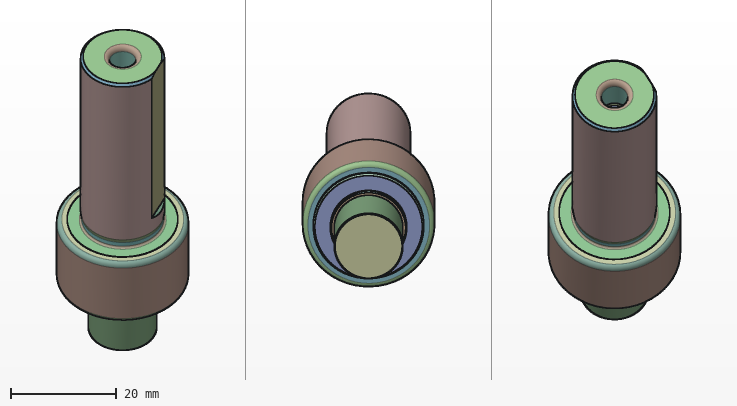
import cadquery as cq
import math

TOTAL_LENGTH = 70.0
HEAD_BOTTOM = 13.0
HEAD_TOP = 28.0

HEAD_DIAMETER = 25.0
HEAD_FILLET = 1.0
RECESS_DIAMETER = 20.9
RECESS_DEPTH = 0.1

PILOT_DIAMETER = 13.0
PILOT_CHAMFER = 0.175
COLLAR_DIAMETER = 14.5
COLLAR_TIP_DIAMETER = 14.0
COLLAR_BOTTOM = 11.3
COLLAR_TAPER_TOP = 11.6
FLANGE_DIAMETER = 20.9
FLANGE_TIP_DIAMETER = 20.3
FLANGE_BOTTOM = 12.0
FLANGE_TAPER_TOP = 12.5

SHANK_DIAMETER = 15.9
SHANK_CHAMFER = 0.5
NECK_DIAMETER = 15.6
NECK_FILLET = 0.4
NECK_TOP = 29.25
NECK_TAPER_TOP = 30.1

FLAT_OFFSET = 7.35
FLAT_BOTTOM = 33.6

MOUTH_DIAMETER = 7.0
BORE_DIAMETER = 5.0
BORE_DEPTH = 7.0
SEAT_DIAMETER = 4.5
SEAT_DEPTH = 7.5
THREAD_DIAMETER = 3.5
THREAD_DEPTH = 11.2
CORE_DIAMETER = 2.5
CORE_DEPTH = 12.6
DRILL_DIAMETER = 2.0
DRILL_DEPTH = 14.0
DRILL_POINT_ANGLE = 118.0

ARC_INSET_RATIO = 1 - math.sqrt(0.5)


def turned_body():
    """Revolve the outer half-profile about Z."""
    head_r = HEAD_DIAMETER / 2
    pilot_r = PILOT_DIAMETER / 2
    shank_r = SHANK_DIAMETER / 2
    neck_r = NECK_DIAMETER / 2
    arc_inset = HEAD_FILLET * ARC_INSET_RATIO
    neck_inset = NECK_FILLET * ARC_INSET_RATIO
    recess_floor = HEAD_TOP - RECESS_DEPTH
    profile = (
        cq.Workplane("XZ")
        .lineTo(pilot_r - PILOT_CHAMFER, 0)
        .lineTo(pilot_r, PILOT_CHAMFER)
        .lineTo(pilot_r, COLLAR_BOTTOM)
        .lineTo(COLLAR_TIP_DIAMETER / 2, COLLAR_BOTTOM)
        .lineTo(COLLAR_DIAMETER / 2, COLLAR_TAPER_TOP)
        .lineTo(COLLAR_DIAMETER / 2, FLANGE_BOTTOM)
        .lineTo(FLANGE_TIP_DIAMETER / 2, FLANGE_BOTTOM)
        .lineTo(FLANGE_DIAMETER / 2, FLANGE_TAPER_TOP)
        .lineTo(FLANGE_DIAMETER / 2, HEAD_BOTTOM)
        .lineTo(head_r - HEAD_FILLET, HEAD_BOTTOM)
        .threePointArc((head_r - arc_inset, HEAD_BOTTOM + arc_inset), (head_r, HEAD_BOTTOM + HEAD_FILLET))
        .lineTo(head_r, HEAD_TOP - HEAD_FILLET)
        .threePointArc((head_r - arc_inset, HEAD_TOP - arc_inset), (head_r - HEAD_FILLET, HEAD_TOP))
        .lineTo(RECESS_DIAMETER / 2, HEAD_TOP)
        .lineTo(RECESS_DIAMETER / 2, recess_floor)
        .lineTo(neck_r + NECK_FILLET, recess_floor)
        .threePointArc((neck_r + neck_inset, recess_floor + neck_inset), (neck_r, recess_floor + NECK_FILLET))
        .lineTo(neck_r, NECK_TOP)
        .lineTo(shank_r, NECK_TAPER_TOP)
        .lineTo(shank_r, TOTAL_LENGTH - SHANK_CHAMFER)
        .lineTo(shank_r - SHANK_CHAMFER, TOTAL_LENGTH)
        .lineTo(0, TOTAL_LENGTH)
        .close()
    )
    return profile.revolve(360, (0, 0, 0), (0, 1, 0))


def shank_flat():
    """Material outside the flat, bounded below by the ramp."""
    ramp_run = SHANK_DIAMETER - FLAT_OFFSET
    return (
        cq.Workplane("XZ")
        .moveTo(FLAT_OFFSET, FLAT_BOTTOM)
        .lineTo(SHANK_DIAMETER, FLAT_BOTTOM - ramp_run)
        .lineTo(SHANK_DIAMETER, TOTAL_LENGTH)
        .lineTo(FLAT_OFFSET, TOTAL_LENGTH)
        .close()
        .extrude(SHANK_DIAMETER / 2, both=True)
    )


def centre_hole():
    """Radiused mouth, bore with tapered seat, threaded length, core and pointed drill tip."""
    bore_r = BORE_DIAMETER / 2
    thread_r = THREAD_DIAMETER / 2
    drill_r = DRILL_DIAMETER / 2
    mouth_radius = MOUTH_DIAMETER / 2 - bore_r
    arc_inset = mouth_radius * ARC_INSET_RATIO
    drill_bottom = TOTAL_LENGTH - DRILL_DEPTH
    point_height = drill_r / math.tan(math.radians(DRILL_POINT_ANGLE / 2))
    profile = (
        cq.Workplane("XZ")
        .moveTo(0, TOTAL_LENGTH)
        .lineTo(MOUTH_DIAMETER / 2, TOTAL_LENGTH)
        .threePointArc((bore_r + arc_inset, TOTAL_LENGTH - arc_inset), (bore_r, TOTAL_LENGTH - mouth_radius))
        .lineTo(bore_r, TOTAL_LENGTH - BORE_DEPTH)
        .lineTo(SEAT_DIAMETER / 2, TOTAL_LENGTH - SEAT_DEPTH)
        .lineTo(thread_r, TOTAL_LENGTH - SEAT_DEPTH)
        .lineTo(thread_r, TOTAL_LENGTH - THREAD_DEPTH)
        .lineTo(CORE_DIAMETER / 2, TOTAL_LENGTH - THREAD_DEPTH)
        .lineTo(CORE_DIAMETER / 2, TOTAL_LENGTH - CORE_DEPTH)
        .lineTo(drill_r, TOTAL_LENGTH - CORE_DEPTH)
        .lineTo(drill_r, drill_bottom)
        .lineTo(0, drill_bottom - point_height)
        .close()
    )
    return profile.revolve(360, (0, 0, 0), (0, 1, 0))


result = turned_body().cut(shank_flat()).cut(centre_hole())